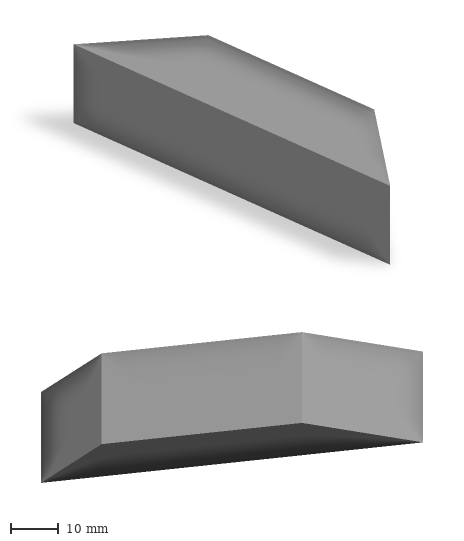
import cadquery as cq

length = 84.0
side = 20.0
miter_setback = side

half_length = length / 2
half_short_length = half_length - miter_setback
half_side = side / 2

outline = [
    (-half_length, -half_side),
    (half_length, -half_side),
    (half_short_length, half_side),
    (-half_short_length, half_side),
]

result = cq.Workplane("XY").polyline(outline).close().extrude(half_side, both=True)